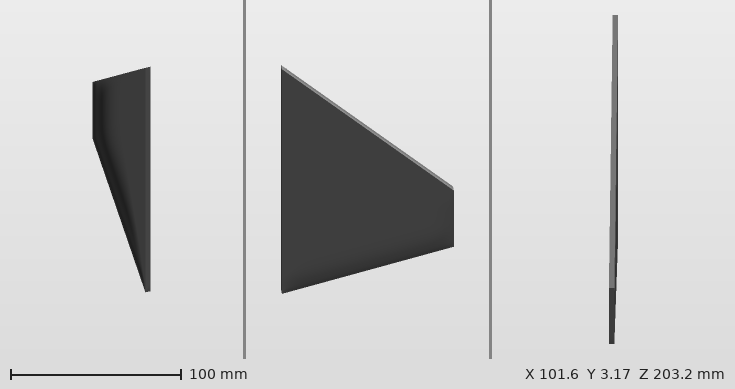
import cadquery as cq

root_length = 203.2
tip_length = 50.8
span = 101.6
tip_offset = 25.4
thickness = 3.175

outline = [
    (0, tip_offset),
    (span, 0),
    (span, root_length),
    (0, tip_offset + tip_length),
]

result = cq.Workplane("XZ").polyline(outline).close().extrude(-thickness)